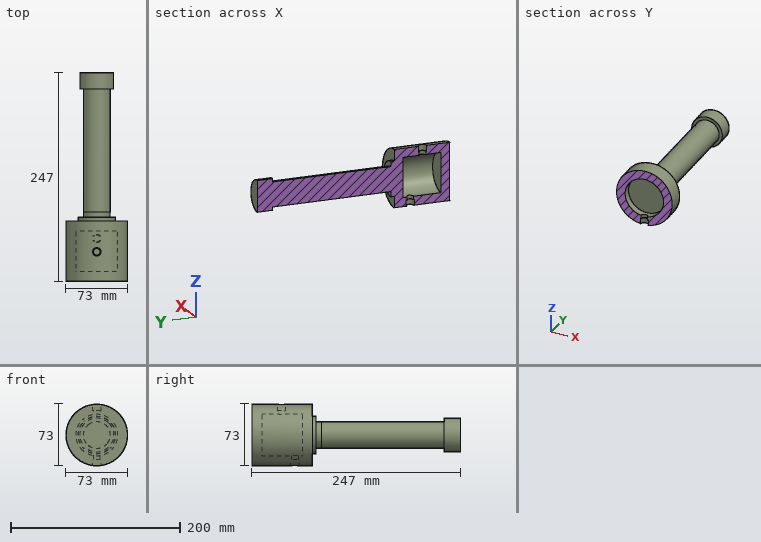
import cadquery as cq

total_length = 247.0
barrel_diameter = 73.0
barrel_length = 71.6
collar_diameter = 44.5
collar_length = 4.5
neck_diameter = 31.5
neck_length = 6.2
rod_diameter = 31.9
head_diameter = 40.0
head_length = 19.5
edge_chamfer = 0.37

wall = 11.9

port_diameter = 10.0
port_depth = 7.5
port_throat_diameter = 8.2
top_port_from_front = 35.0
bottom_port_from_front = 51.0

front_y = -total_length / 2
barrel_end_y = front_y + barrel_length
collar_end_y = barrel_end_y + collar_length
neck_end_y = collar_end_y + neck_length
head_end_y = front_y + total_length
head_start_y = head_end_y - head_length


def cylinder_along_y(diameter, start_y, end_y):
    """Solid cylinder about the Y axis between two stations."""
    length = end_y - start_y
    half_section = cq.Workplane("YZ").center(start_y, 0).rect(length, diameter / 2, centered=False)
    return half_section.revolve(360, (0, 0), (1, 0))


def make_port(port_y, side):
    """Cutter for a stepped radial port; side is +1 for the top and -1 for the bottom."""
    barrel_radius = barrel_diameter / 2
    throat = (
        cq.Workplane("XY", origin=(0, port_y, 0))
        .circle(port_throat_diameter / 2)
        .extrude(side * barrel_radius)
    )
    mouth = (
        cq.Workplane("XY", origin=(0, port_y, side * (barrel_radius - port_depth)))
        .circle(port_diameter / 2)
        .extrude(side * port_depth)
    )
    return throat.union(mouth)


barrel = cylinder_along_y(barrel_diameter, front_y, barrel_end_y)
barrel = barrel.faces("<Y").edges().chamfer(edge_chamfer)
collar = cylinder_along_y(collar_diameter, barrel_end_y, collar_end_y)
collar = collar.faces(">Y").edges().chamfer(edge_chamfer)

neck = cylinder_along_y(neck_diameter, collar_end_y, neck_end_y)
rod = cylinder_along_y(rod_diameter, neck_end_y, head_start_y)
head = cylinder_along_y(head_diameter, head_start_y, head_end_y)

chamber = cylinder_along_y(barrel_diameter - 2 * wall, front_y + wall, barrel_end_y - wall)
top_port = make_port(front_y + top_port_from_front, 1)
bottom_port = make_port(front_y + bottom_port_from_front, -1)

body = barrel.union(collar).union(neck).union(rod).union(head)
result = body.cut(chamber).cut(top_port).cut(bottom_port)